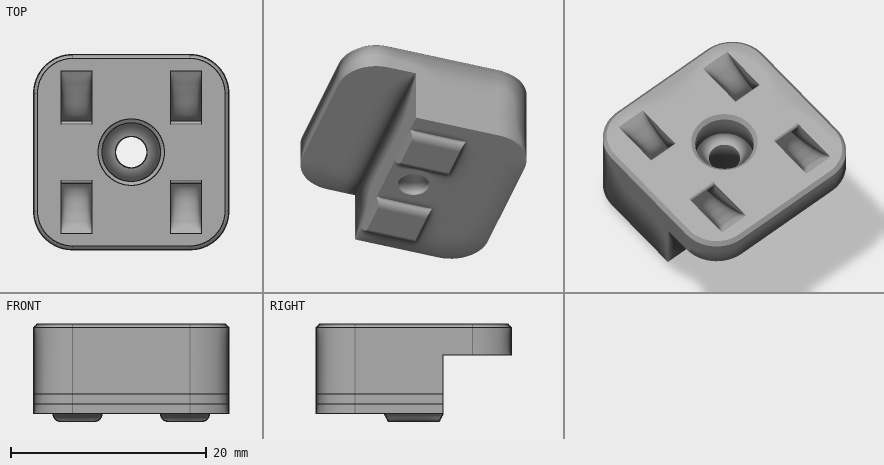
import cadquery as cq
import math

SIDE = 20.0
HEIGHT = 10.0
CORNER_RADIUS = 4.0
TOP_CHAMFER = 0.4

FOOT_HEIGHT = 0.8
PLATE_THICKNESS = 1.0
BASE_BOTTOM = FOOT_HEIGHT
SPACER_BOTTOM = BASE_BOTTOM + PLATE_THICKNESS
HOUSING_BOTTOM = SPACER_BOTTOM + PLATE_THICKNESS

FLANGE_THICKNESS = 3.2
STEP_Y = 3.0

HOLE_DIAMETER = 3.2
BORE_DIAMETER = 6.0
BORE_DEPTH = 3.0
BORE_CHAMFER = 0.4

TUNNEL_X = 5.6
TUNNEL_WIDTH = 3.2
SLOT_INNER_Y = 2.9
SLOT_OUTER_Y = 8.3
FLOOR_RADIUS = 13.0
LIP_RADIUS = 0.3

FOOT_X = 5.5
FOOT_WIDTH = 5.0
FOOT_LENGTH = 6.0
FOOT_END_TAPER = 0.4


def rounded_slab(bottom, top):
    """Square slab with rounded vertical corners."""
    return (
        cq.Workplane("XY", origin=(0, 0, bottom))
        .rect(SIDE, SIDE)
        .extrude(top - bottom)
        .edges("|Z")
        .fillet(CORNER_RADIUS)
    )


def step_cutter():
    """Everything on the +Y side of the step, below the flange."""
    return (
        cq.Workplane("XY")
        .box(SIDE, SIDE, HEIGHT - FLANGE_THICKNESS, centered=(True, False, False))
        .translate((0, STEP_Y, 0))
    )


def screw_hole():
    """Cylinder over the full height."""
    return cq.Workplane("XY").circle(HOLE_DIAMETER / 2).extrude(HEIGHT)


def counterbore():
    """Flat-bottomed bore with a chamfered mouth, revolved from its half section."""
    bore_radius = BORE_DIAMETER / 2
    bore_floor = HEIGHT - BORE_DEPTH
    return (
        cq.Workplane("XZ")
        .moveTo(0, bore_floor)
        .lineTo(bore_radius, bore_floor)
        .lineTo(bore_radius, HEIGHT - BORE_CHAMFER)
        .lineTo(bore_radius + BORE_CHAMFER, HEIGHT)
        .lineTo(0, HEIGHT)
        .close()
        .revolve(360, (0, 0), (0, 1))
    )


def strap_tunnel(x):
    """Tunnel with an arched floor, passing under a round-ended bar at the top face."""
    floor_depth = FLOOR_RADIUS - math.sqrt(FLOOR_RADIUS**2 - SLOT_OUTER_Y**2)
    lip_middle = HEIGHT - LIP_RADIUS
    roof = HEIGHT - 2 * LIP_RADIUS
    lip_tip_y = SLOT_INNER_Y + LIP_RADIUS
    return (
        cq.Workplane("YZ", origin=(x - TUNNEL_WIDTH / 2, 0, 0))
        .moveTo(SLOT_OUTER_Y, HEIGHT)
        .threePointArc((0, HEIGHT - floor_depth), (-SLOT_OUTER_Y, HEIGHT))
        .lineTo(-SLOT_INNER_Y, HEIGHT)
        .threePointArc((-lip_tip_y, lip_middle), (-SLOT_INNER_Y, roof))
        .lineTo(SLOT_INNER_Y, roof)
        .threePointArc((lip_tip_y, lip_middle), (SLOT_INNER_Y, HEIGHT))
        .close()
        .extrude(TUNNEL_WIDTH)
    )


def foot(x):
    """Foot with tapered Y ends and long lower edges rounded over its full height."""
    half_top = FOOT_LENGTH / 2
    half_bottom = half_top - FOOT_END_TAPER
    side_profile = [
        (-half_top, FOOT_HEIGHT),
        (-half_bottom, 0),
        (half_bottom, 0),
        (half_top, FOOT_HEIGHT),
    ]
    tapered_bar = (
        cq.Workplane("YZ", origin=(x - FOOT_WIDTH / 2, 0, 0))
        .polyline(side_profile)
        .close()
        .extrude(FOOT_WIDTH)
    )

    half_width = FOOT_WIDTH / 2
    half_flat = half_width - FOOT_HEIGHT
    corner_offset = FOOT_HEIGHT * math.sqrt(0.5)
    corner_z = FOOT_HEIGHT - corner_offset
    rounded_bar = (
        cq.Workplane("XZ", origin=(x, half_top, 0))
        .moveTo(-half_width, FOOT_HEIGHT)
        .threePointArc((-half_flat - corner_offset, corner_z), (-half_flat, 0))
        .lineTo(half_flat, 0)
        .threePointArc((half_flat + corner_offset, corner_z), (half_width, FOOT_HEIGHT))
        .close()
        .extrude(FOOT_LENGTH)
    )
    return tapered_bar.intersect(rounded_bar)


def make_plate(bottom):
    """Plate of the stepped outline with the screw hole."""
    return rounded_slab(bottom, bottom + PLATE_THICKNESS).cut(step_cutter()).cut(screw_hole())


def make_housing():
    """Top body with the flange, counterbore and strap tunnels."""
    housing = rounded_slab(HOUSING_BOTTOM, HEIGHT).faces(">Z").chamfer(TOP_CHAMFER)
    housing = housing.cut(step_cutter()).cut(screw_hole()).cut(counterbore())
    for side in (-1, 1):
        housing = housing.cut(strap_tunnel(side * TUNNEL_X))
    return housing


def make_spacer():
    """Plain plate between the housing and the base."""
    return make_plate(SPACER_BOTTOM)


def make_base():
    """Bottom plate with its two feet."""
    base = make_plate(BASE_BOTTOM)
    for side in (-1, 1):
        base = base.union(foot(side * FOOT_X))
    return base


housing = make_housing()
spacer = make_spacer()
base = make_base()

result = cq.Compound.makeCompound([housing.val(), spacer.val(), base.val()])